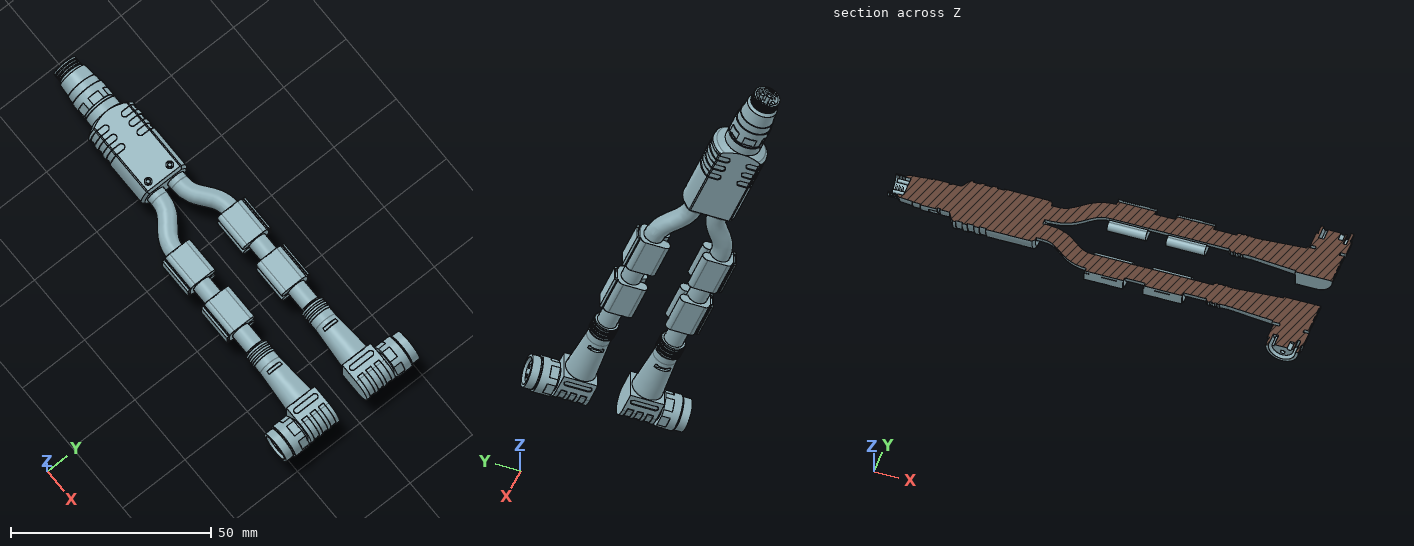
import cadquery as cq
import math


length = 115.3
width = 42.8
nut_d = 9.6
cable_d = 5.2
branch_y = 8.94
exit_y = 3.2
overlap = 0.6

flat_count = 6
flat_width = 3.2

tip_d = 6.9
tip_bore_d = 5.9
tip_bore_depth = 4.0
pin_d = 1.0
pin_recess = 0.9
upper_pin = (0.86, 1.4)
lower_pin = (1.9, -0.7)
thread_d = 6.5
thread_grooves = (0.6, 1.4, 2.2)
thread_groove_width = 0.3
tip_end = 2.5
sleeve_start = 3.3
sleeve_end = 6.9
sleeve_start_d = 8.1
sleeve_end_d = 8.6
shoulder_d = 9.0
male_nut_start = 9.1
male_nut_end = 13.6
male_gap_d = 8.8
male_gap_width = 0.7
male_flat_length = 2.3

body_start = 16.8
body_end = 40.2
body_height = 9.5
body_width = 14.6
body_flat_width = 10.4
bevel_width = 0.3
bevel_drop = 0.1
nose_length = 1.0
nose_edge_d = 13.0
nose_bevel_length = 0.7
body_chamfer = 0.7
grip_first = 20.2
grip_pitch = 3.1
grip_count = 3
grip_width = 1.7
grip_depth = 0.3
grip_inner_y = 2.2
led_x = 37.6
led_y = 3.5
led_d = 2.0
led_core_d = 1.1
led_depth = 0.5

bend_start = 41.9
bend_end = 55.3

clip_starts = (55.3, 70.9)
clip_length = 10.3
clip_height = 6.8
jaw_radius = 1.4
jaw_gap = clip_height - 4 * jaw_radius
clip_inner = 4.6
clip_back = 3.3
clip_outer = 4.4
label_height = 5.1
label_chamfer_depth = 0.3
label_chamfer_height = 0.6
label_neck = 0.3
label_neck_height = 4.2
slit_height = 3.2
slit_width = 0.5
slit_wall = 0.3

relief_start = 87.2
relief_d = 6.5
relief_ring_d = 6.9
relief_rings = (87.6, 88.9, 90.2)
relief_ring_width = 0.7
cone_start = 93.0
cone_end_d = 8.3
window_x = 94.8
window_width = 0.9
window_floor = 2.7
head_start = 105.2
head_height = 8.8
head_width = 9.1
head_axis_x = length - nut_d / 2
head_round_x = 110.7
head_groove_start = 109.9
head_groove_count = 3
head_groove_width = 1.6
head_groove_pitch = 2.7
head_groove_depth = 0.2
head_slot_x = 107.2
head_slot_length = 7.4
head_slot_width = 1.5
head_slot_depth = 0.3
neck_d = 6.5
female_nut_gap = 0.7
female_rim_length = 2.7
female_rim_d = 8.8
rim_groove_d = 8.5
rim_groove_width = 0.3
female_flat_length = 2.3
female_bore_d = 7.1
insert_d = 5.8
insert_recess = 0.7
female_bore_depth = 4.0
contact_d = 1.1
contact_radius = 1.79
contact_depth = 2.3
key_width = 0.7
key_depth = 0.6

head_inner_y = branch_y - head_width / 2
head_outer_y = branch_y + head_width / 2
nut_start_y = head_outer_y + female_nut_gap
front_y = width / 2
rim_start_y = front_y - female_rim_length


def rod_x(start, end, diameter, y=0.0, z=0.0):
    """Cylinder along X from start to end."""
    return cq.Workplane("YZ", origin=(start, y, z)).circle(diameter / 2).extrude(end - start)


def rod_y(start, end, diameter, x=0.0, z=0.0):
    """Cylinder along +Y from start to end."""
    return cq.Workplane("XZ", origin=(x, start, z)).circle(diameter / 2).extrude(start - end)


def block(x_range, y_range, z_range):
    """Box between the given coordinate pairs."""
    low, high = zip(x_range, y_range, z_range)
    size = [b - a for a, b in zip(low, high)]
    return cq.Workplane("XY").box(*size, centered=False).translate(low)


def turned_x(profile):
    """Solid of revolution about X from (x, diameter) pairs."""
    outline = [(profile[0][0], 0)] + [(x, d / 2) for x, d in profile] + [(profile[-1][0], 0)]
    return cq.Workplane("XY").polyline(outline).close().revolve(360, (0, 0, 0), (1, 0, 0))


def grip_flats(start, end):
    """Cutters for the flats around a nut on the X axis, the first one facing +Z."""
    distance = math.sqrt((nut_d / 2) ** 2 - (flat_width / 2) ** 2)
    cutter = block((start, end), (-flat_width / 2, flat_width / 2), (distance, nut_d))
    cutters = cutter
    for index in range(1, flat_count):
        angle = 360 * index / flat_count
        cutters = cutters.add(cutter.rotate((0, 0, 0), (1, 0, 0), angle))
    return cutters.combine()


def male_plug():
    plug = turned_x([
        (0, tip_d), (tip_end, tip_d),
        (sleeve_start, sleeve_start_d), (sleeve_end, sleeve_end_d),
        (sleeve_end, shoulder_d), (male_nut_start, shoulder_d),
        (male_nut_start, nut_d), (male_nut_end, nut_d),
        (male_nut_end, male_gap_d), (male_nut_end + male_gap_width, male_gap_d),
        (male_nut_end + male_gap_width, body_height), (body_start + overlap, body_height),
    ])
    for x in thread_grooves:
        end = x + thread_groove_width
        plug = plug.cut(rod_x(x, end, nut_d).cut(rod_x(x, end, thread_d)))
    plug = plug.cut(grip_flats(male_nut_end - male_flat_length, male_nut_end))
    plug = plug.cut(rod_x(0, tip_bore_depth, tip_bore_d))
    for y, z in (upper_pin, lower_pin):
        for side in (-1, 1):
            plug = plug.union(rod_x(pin_recess, tip_bore_depth + overlap, pin_d, side * y, z))
    return plug


def housing_section(inset):
    """Housing bar with flat top and bottom and bulging sides, shrunk by the inset."""
    half_flat = body_flat_width / 2
    half_width = body_width / 2 - inset
    half_height = body_height / 2 - inset
    bevel_y = half_flat + bevel_width
    bevel_z = half_height - bevel_drop
    return (
        cq.Workplane("YZ", origin=(body_start, 0, 0))
        .moveTo(-half_flat, half_height)
        .lineTo(half_flat, half_height)
        .lineTo(bevel_y, bevel_z)
        .threePointArc((half_width, 0), (bevel_y, -bevel_z))
        .lineTo(half_flat, -half_height)
        .lineTo(-half_flat, -half_height)
        .lineTo(-bevel_y, -bevel_z)
        .threePointArc((-half_width, 0), (-bevel_y, bevel_z))
        .close()
        .extrude(body_end - body_start)
    )


def grip_grooves():
    """Grooves around each side whose round ends reach onto the top and bottom."""
    reach = body_width
    slots = cq.Workplane("XY")
    for index in range(grip_count):
        x = grip_first + index * grip_pitch
        for side in (-1, 1):
            centre_y = side * (grip_inner_y + reach / 2)
            slot = (
                cq.Workplane("XY", origin=(x, centre_y, -body_height))
                .slot2D(reach, grip_width, 90)
                .extrude(2 * body_height)
            )
            slots = slots.add(slot)
    return slots.combine().cut(housing_section(grip_depth))


def housing():
    body = housing_section(0).faces(">X").chamfer(body_chamfer)
    nose_end = body_start + nose_length
    nose = turned_x([
        (body_start, body_height), (nose_end, nose_edge_d),
        (nose_end + nose_bevel_length, body_width), (body_end, body_width),
    ])
    body = body.intersect(nose).cut(grip_grooves())
    top = body_height / 2
    for side in (-1, 1):
        ring = (
            cq.Workplane("XY", origin=(led_x, side * led_y, top - led_depth))
            .circle(led_d / 2)
            .circle(led_core_d / 2)
            .extrude(led_depth)
        )
        body = body.cut(ring)
    return body


def cable():
    """Straight exit, smooth S-bend, straight run into the plug."""
    along = (1, 0)
    path = (
        cq.Workplane("XY")
        .moveTo(body_end - overlap, exit_y)
        .lineTo(bend_start, exit_y)
        .spline([(bend_end, branch_y)], tangents=[along, along], includeCurrent=True)
        .lineTo(relief_start + overlap, branch_y)
    )
    section = cq.Workplane("YZ", origin=(body_end - overlap, exit_y, 0)).circle(cable_d / 2)
    return section.sweep(path)


def label_clip(start):
    """C-shaped clip with two round jaws toward the centre and a slotted label plate outside."""
    half = clip_height / 2
    plate_inner = clip_back + label_neck

    def bar(y_range, z_range):
        y_values = [branch_y + y for y in y_range]
        return block((start, start + clip_length), y_values, z_range)

    jaw_y = jaw_radius - clip_inner
    clip = bar((jaw_y, clip_back), (-half, half)).edges("|X and >Y").fillet(jaw_radius)
    clip = clip.cut(bar((jaw_y, 0), (-jaw_gap / 2, jaw_gap / 2)))
    for side in (-1, 1):
        jaw_z = side * (half - jaw_radius)
        clip = clip.union(rod_x(start, start + clip_length, 2 * jaw_radius, branch_y + jaw_y, jaw_z))
    neck = bar((0, plate_inner), (-label_neck_height / 2, label_neck_height / 2))
    plate = bar((plate_inner, clip_outer), (-label_height / 2, label_height / 2))
    plate = plate.faces(">Y").edges("|X").chamfer(label_chamfer_depth, label_chamfer_height)
    slit = bar((clip_outer - slit_wall - slit_width, clip_outer - slit_wall),
               (-slit_height / 2, slit_height / 2))
    return clip.union(neck).union(plate).cut(slit)


def strain_relief():
    relief = turned_x([
        (relief_start, relief_d), (cone_start, relief_d),
        (head_start, cone_end_d), (head_start + overlap, cone_end_d),
    ])
    for x in relief_rings:
        relief = relief.union(rod_x(x, x + relief_ring_width, relief_ring_d))
    half = window_width / 2
    for side in (-1, 1):
        z_range = sorted((side * window_floor, side * nut_d))
        relief = relief.cut(block((window_x - half, window_x + half), (-nut_d, nut_d), z_range))
    return relief.translate((0, branch_y, 0))


def d_bar(inset, start_x, start_y, end_y):
    """Bar along Y: straight from start_x, then a round end; thinned by the inset all around."""
    radius = head_height / 2 - inset
    return (
        cq.Workplane("XZ", origin=(0, start_y, 0))
        .moveTo(start_x, -radius)
        .lineTo(head_round_x, -radius)
        .threePointArc((head_round_x + radius, 0), (head_round_x, radius))
        .lineTo(start_x, radius)
        .close()
        .extrude(start_y - end_y)
    )


def plug_head():
    """Head with a grooved round end and shallow slots above and below."""
    half = head_height / 2
    head = d_bar(0, head_start, head_inner_y, head_outer_y)
    for index in range(head_groove_count):
        y = branch_y + (index - (head_groove_count - 1) / 2) * head_groove_pitch
        groove_range = (y - head_groove_width / 2, y + head_groove_width / 2)
        groove = d_bar(0, head_groove_start, *groove_range)
        head = head.cut(groove.cut(d_bar(head_groove_depth, head_groove_start, *groove_range)))
    for floor in (half - head_slot_depth, -half):
        slot = (
            cq.Workplane("XY", origin=(head_slot_x, branch_y, floor))
            .slot2D(head_slot_length, head_slot_width, 90)
            .extrude(head_slot_depth)
        )
        head = head.cut(slot)
    return head


def female_nut():
    """Coupling nut on the Y axis of the head, with the contact insert inside."""
    x = head_axis_x
    nut = rod_y(nut_start_y, rim_start_y, nut_d, x)
    flats = grip_flats(nut_start_y, nut_start_y + female_flat_length)
    nut = nut.cut(flats.rotate((0, 0, 0), (0, 0, 1), 90).translate((x, 0, 0)))
    nut = nut.union(rod_y(rim_start_y, front_y, female_rim_d, x))
    groove_end = rim_start_y + rim_groove_width
    groove_core = rod_y(rim_start_y, groove_end, rim_groove_d, x)
    nut = nut.cut(rod_y(rim_start_y, groove_end, nut_d, x).cut(groove_core))
    nut = nut.cut(rod_y(front_y - female_bore_depth, front_y, female_bore_d, x))

    face_y = front_y - insert_recess
    insert = rod_y(front_y - female_bore_depth - overlap, face_y, insert_d, x)
    for angle in (-90, 0, 90):
        contact_x = x + contact_radius * math.cos(math.radians(angle))
        contact_z = contact_radius * math.sin(math.radians(angle))
        insert = insert.cut(rod_y(face_y - contact_depth, face_y, contact_d, contact_x, contact_z))
    edge = x - insert_d / 2
    insert = insert.cut(block(
        (edge, edge + key_depth),
        (front_y - female_bore_depth, face_y),
        (-key_width / 2, key_width / 2),
    ))

    neck = rod_y(head_outer_y - overlap, nut_start_y + overlap, neck_d, x)
    return nut.union(insert).union(neck)


def branch():
    parts = cable()
    for start in clip_starts:
        parts = parts.union(label_clip(start))
    return parts.union(strain_relief()).union(plug_head()).union(female_nut())


one_branch = branch()
result = male_plug().union(housing()).union(one_branch).union(one_branch.mirror("XZ"))